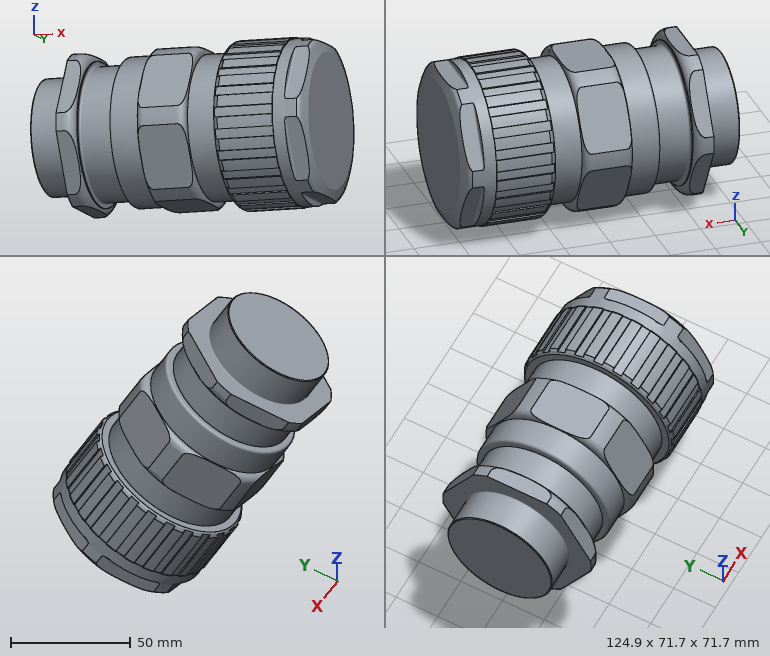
import cadquery as cq
import math


flange_start = 15.0
flange_end = 22.7
shank_start = 23.2
collar_start = 37.5
coupling_hex_start = 50.2
neck_start = 71.9
cap_start = 84.7
rib_end = 111.0
cap_flat_start = 116.4
cap_end = 124.9

flat_count = 6
across_flats = 64.9
bar_radius = 35.5

stem_diameter = 50.0
stem_chamfer = 0.4
stem_root_fillet = 0.4
flange_round = 4.4
boss_diameter = 62.0
shank_diameter = 57.5
shank_root_fillet = 0.7

collar_diameter = 63.9
collar_round = 1.1
coupling_hex_round = 3.1
neck_diameter = 62.2

rib_diameter = 71.8
rib_count = 24
rib_pitch = 360 / rib_count
groove_angle = 6.8
groove_floor_radius = 35.2
rib_lead = 2.0
cap_front_chamfer = 0.7
flat_step_fillet = 0.7

cap_round_start = 121.7
cap_round_end = 123.7
cap_round_end_radius = 32.5
cap_round_bulge = 0.4
cap_face_radius = 29.0


def cylinder(start, end, radius):
    return cq.Workplane("YZ", origin=(start, 0, 0)).circle(radius).extrude(end - start)


def hexagon(start, end):
    corner_diameter = across_flats / math.cos(math.pi / flat_count)
    return (
        cq.Workplane("YZ", origin=(start, 0, 0))
        .polygon(flat_count, corner_diameter)
        .extrude(end - start)
    )


def root_fillet(face_x, radius, size, direction):
    """Ring with a concave quarter-round between a cylinder and the face at face_x."""
    tip_x = face_x + direction * size
    middle = size * (1 - math.sqrt(0.5))
    inner_radius = radius / 2
    return (
        cq.Workplane("XY")
        .moveTo(face_x, inner_radius)
        .lineTo(face_x, radius + size)
        .threePointArc((face_x + direction * middle, radius + middle), (tip_x, radius))
        .lineTo(tip_x, inner_radius)
        .close()
        .revolve(360, (0, 0, 0), (1, 0, 0))
    )


def entry_item():
    """Plain stem, hexagonal flange rounded at the rear, thin boss and round shank."""
    stem_radius = stem_diameter / 2
    shank_radius = shank_diameter / 2
    stem = cylinder(0, flange_start, stem_radius).faces("<X").chamfer(stem_chamfer)
    flange_bar = cylinder(flange_start, flange_end, bar_radius).faces(">X").edges().fillet(flange_round)
    flange = flange_bar.intersect(hexagon(flange_start, flange_end))
    boss = cylinder(flange_end, shank_start, boss_diameter / 2)
    shank = cylinder(shank_start, collar_start, shank_radius)
    return (
        stem.union(flange)
        .union(boss)
        .union(shank)
        .union(root_fillet(flange_start, stem_radius, stem_root_fillet, -1))
        .union(root_fillet(shank_start, shank_radius, shank_root_fillet, 1))
    )


def coupling():
    """Round collar, hexagon rounded at both ends, and neck that meets the cap."""
    collar = cylinder(collar_start, coupling_hex_start, collar_diameter / 2)
    collar = collar.faces("<X").edges().fillet(collar_round)
    hex_bar = cylinder(coupling_hex_start, neck_start, bar_radius)
    hex_bar = hex_bar.faces("<X or >X").edges().fillet(coupling_hex_round)
    hex_grip = hex_bar.intersect(hexagon(coupling_hex_start, neck_start))
    neck = cylinder(neck_start, cap_start, neck_diameter / 2)
    return collar.union(hex_grip).union(neck)


def cap_core():
    """Cap without ribs and flats: groove floors in front, full bar radius behind them."""
    round_middle = (
        (cap_round_start + cap_round_end) / 2 + cap_round_bulge,
        (bar_radius + cap_round_end_radius) / 2 + cap_round_bulge / 2,
    )
    return (
        cq.Workplane("XY")
        .moveTo(cap_start, 0)
        .lineTo(cap_start, groove_floor_radius - cap_front_chamfer)
        .lineTo(cap_start + cap_front_chamfer, groove_floor_radius)
        .lineTo(rib_end, groove_floor_radius)
        .lineTo(rib_end, bar_radius)
        .lineTo(cap_round_start, bar_radius)
        .threePointArc(round_middle, (cap_round_end, cap_round_end_radius))
        .lineTo(cap_end, cap_face_radius)
        .lineTo(cap_end, 0)
        .close()
        .revolve(360, (0, 0, 0), (1, 0, 0))
    )


def cap_rib():
    """One rib, centred on the XY plane, with a conical lead at its front end."""
    rib_angle = rib_pitch - groove_angle
    rib_radius = rib_diameter / 2
    rib_start = cap_start + cap_front_chamfer
    root_radius = groove_floor_radius - cap_front_chamfer
    return (
        cq.Workplane("XY")
        .moveTo(rib_start, root_radius)
        .lineTo(rib_start, groove_floor_radius)
        .lineTo(cap_start + rib_lead, rib_radius)
        .lineTo(rib_end, rib_radius)
        .lineTo(rib_end, root_radius)
        .close()
        .revolve(rib_angle, (0, 0, 0), (1, 0, 0))
        .rotate((0, 0, 0), (1, 0, 0), -rib_angle / 2)
    )


def cap_flat_cutter():
    """Block above the +Z flat, its lower front edge rounded to leave a root fillet."""
    height = rib_diameter / 2 - across_flats / 2
    return (
        cq.Workplane("XY", origin=(cap_flat_start, 0, across_flats / 2))
        .box(cap_end - cap_flat_start, rib_diameter, height, centered=(False, True, False))
        .edges("<X and <Z")
        .fillet(flat_step_fillet)
    )


def ribbed_cap():
    cap = cap_core()
    rib = cap_rib()
    for index in range(rib_count):
        cap = cap.union(rib.rotate((0, 0, 0), (1, 0, 0), (index + 0.5) * rib_pitch))
    cutter = cap_flat_cutter()
    for index in range(flat_count):
        cap = cap.cut(cutter.rotate((0, 0, 0), (1, 0, 0), index * 360 / flat_count))
    return cap


bodies = [entry_item(), coupling(), ribbed_cap()]
result = cq.Compound.makeCompound([body.solids().val() for body in bodies])